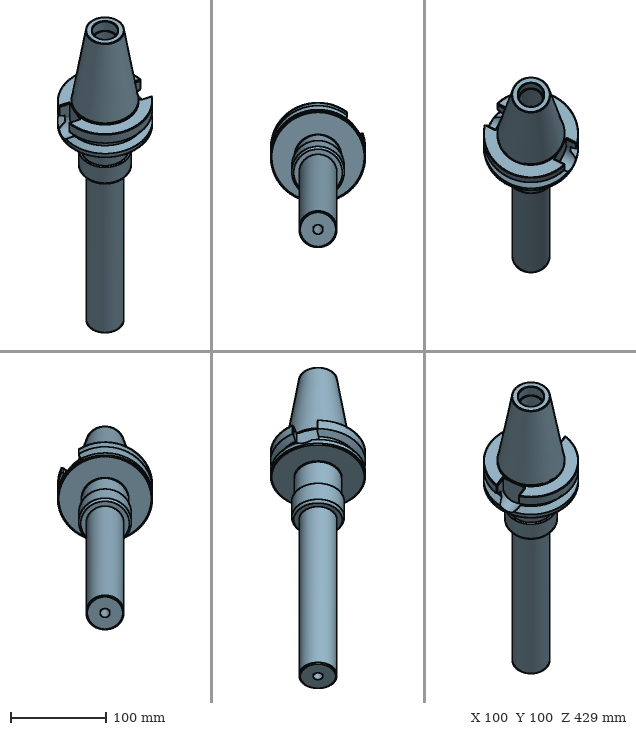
import cadquery as cq
import math

TOTAL_LENGTH = 429.0

EDGE_BREAK = 0.65

TAPER_LENGTH = 102.5
TAPER_LARGE_D = 70.5
TAPER_RATE = 7 / 24
GAUGE_Z = TOTAL_LENGTH - TAPER_LENGTH
TAPER_SMALL_D = TAPER_LARGE_D - TAPER_RATE * TAPER_LENGTH

COLLAR_D = 71.0
COLLAR_LENGTH = 2.0
COLLAR_CHAMFER_HEIGHT = 1.0

FLANGE_D = 100.0
FLANGE_TOP_Z = GAUGE_Z - COLLAR_LENGTH
FLANGE_THICKNESS = 35.0
FLANGE_BOTTOM_Z = FLANGE_TOP_Z - FLANGE_THICKNESS
FLANGE_CHAMFER = 1.5
GROOVE_D = 85.0
GROOVE_FLOOR_WIDTH = 7.0
GROOVE_CENTER_DEPTH = 20.5
GROOVE_CENTER_Z = FLANGE_TOP_Z - GROOVE_CENTER_DEPTH
GROOVE_FLANK_ANGLE = 30.0
GROOVE_FLANK_HEIGHT = (FLANGE_D - GROOVE_D) / 2 * math.tan(math.radians(GROOVE_FLANK_ANGLE))

SLOT_WIDTH = 25.7
SLOT_LENGTH = 31.5
SLOT_FLOOR_Y = 35.0
SLOT_CHAMFER = 1.5

NECK_D = 50.0
NECK_LENGTH = 35.5
RELIEF_D = 48.5
RELIEF_WIDTH = 1.5
NUT_D = 55.5
NUT_LENGTH = 26.5
NUT_CHAMFER_HEIGHT = 3.5
NUT_CHAMFER_WIDTH = 2.0
NUT_TOP_Z = FLANGE_BOTTOM_Z - NECK_LENGTH
NUT_BOTTOM_Z = NUT_TOP_Z - NUT_LENGTH
TUBE_D = 40.0
TUBE_CHAMFER = 1.5

MOUTH_D = 27.0
MOUTH_DEPTH = 13.7
THREAD_D = 25.0
THREAD_DEPTH = 60.0
THREAD_MINOR_D = 23.5
THREAD_MINOR_DEPTH = 73.0
DRILL_D = 20.5
DRILL_DEPTH = 85.8
DRILL_POINT_ANGLE = 120.0
PASSAGE_D = 14.0
PASSAGE_DEPTH = 111.5
NARROW_PASSAGE_D = 12.0
NARROW_PASSAGE_DEPTH = 137.2
THROUGH_BORE_D = 10.5


def revolve_about_z(profile):
    """Solid of revolution from (radius, z) points."""
    return cq.Workplane("XZ").polyline(profile).close().revolve(360, (0, 0), (0, 1))


def revolved_body():
    taper_small_r = TAPER_SMALL_D / 2
    flange_r = FLANGE_D / 2
    groove_r = GROOVE_D / 2
    nut_r = NUT_D / 2
    tube_r = TUBE_D / 2
    floor_top_z = GROOVE_CENTER_Z + GROOVE_FLOOR_WIDTH / 2
    floor_bottom_z = GROOVE_CENTER_Z - GROOVE_FLOOR_WIDTH / 2
    profile = [
        (0, 0),
        (tube_r - TUBE_CHAMFER, 0),
        (tube_r, TUBE_CHAMFER),
        (tube_r, NUT_BOTTOM_Z),
        (nut_r - NUT_CHAMFER_WIDTH, NUT_BOTTOM_Z),
        (nut_r, NUT_BOTTOM_Z + NUT_CHAMFER_HEIGHT),
        (nut_r, NUT_TOP_Z),
        (NECK_D / 2, NUT_TOP_Z),
        (NECK_D / 2, FLANGE_BOTTOM_Z - RELIEF_WIDTH),
        (RELIEF_D / 2, FLANGE_BOTTOM_Z - RELIEF_WIDTH),
        (RELIEF_D / 2, FLANGE_BOTTOM_Z),
        (flange_r - FLANGE_CHAMFER, FLANGE_BOTTOM_Z),
        (flange_r, FLANGE_BOTTOM_Z + FLANGE_CHAMFER),
        (flange_r, floor_bottom_z - GROOVE_FLANK_HEIGHT),
        (groove_r, floor_bottom_z),
        (groove_r, floor_top_z),
        (flange_r, floor_top_z + GROOVE_FLANK_HEIGHT),
        (flange_r, FLANGE_TOP_Z - EDGE_BREAK),
        (flange_r - EDGE_BREAK, FLANGE_TOP_Z),
        (COLLAR_D / 2, FLANGE_TOP_Z),
        (COLLAR_D / 2, GAUGE_Z - COLLAR_CHAMFER_HEIGHT),
        (TAPER_LARGE_D / 2, GAUGE_Z),
        (taper_small_r, TOTAL_LENGTH - EDGE_BREAK),
        (taper_small_r - EDGE_BREAK, TOTAL_LENGTH),
        (0, TOTAL_LENGTH),
    ]
    return revolve_about_z(profile)


def driving_slot():
    """Cutter for the slot on the -Y side."""
    radius = SLOT_WIDTH / 2
    end_z = FLANGE_TOP_Z - SLOT_LENGTH
    return (
        cq.Workplane("XZ", origin=(0, -SLOT_FLOOR_Y, 0))
        .moveTo(-radius, FLANGE_TOP_Z)
        .lineTo(-radius, end_z + radius)
        .threePointArc((0, end_z), (radius, end_z + radius))
        .lineTo(radius, FLANGE_TOP_Z)
        .close()
        .extrude(FLANGE_D / 2)
    )


def slot_edge_chamfers():
    """Cutter that breaks the top and rim edges of the -Y slot in the upper flange land."""
    wall_x = SLOT_WIDTH / 2
    chamfer_x = wall_x + SLOT_CHAMFER
    rim_y = -math.sqrt((FLANGE_D / 2) ** 2 - chamfer_x**2)
    top_profile = [
        (-chamfer_x, FLANGE_TOP_Z),
        (-wall_x, FLANGE_TOP_Z - SLOT_CHAMFER),
        (wall_x, FLANGE_TOP_Z - SLOT_CHAMFER),
        (chamfer_x, FLANGE_TOP_Z),
    ]
    top_edges = (
        cq.Workplane("XZ", origin=(0, -SLOT_FLOOR_Y, 0)).polyline(top_profile).close().extrude(FLANGE_D / 2)
    )
    rim_profile = [
        (-wall_x, rim_y + SLOT_CHAMFER),
        (-chamfer_x, rim_y),
        (-chamfer_x, -FLANGE_D / 2),
        (chamfer_x, -FLANGE_D / 2),
        (chamfer_x, rim_y),
        (wall_x, rim_y + SLOT_CHAMFER),
    ]
    rim_edges = (
        cq.Workplane("XY", origin=(0, 0, GROOVE_CENTER_Z))
        .polyline(rim_profile)
        .close()
        .extrude(FLANGE_TOP_Z - GROOVE_CENTER_Z)
    )
    return top_edges.union(rim_edges)


def bore():
    """Cutter for the stepped bore, ending the drilled length in a drill point."""
    point_height = (DRILL_D - PASSAGE_D) / 2 / math.tan(math.radians(DRILL_POINT_ANGLE / 2))
    half_section = [
        (MOUTH_D + 2 * EDGE_BREAK, 0),
        (MOUTH_D, EDGE_BREAK),
        (MOUTH_D, MOUTH_DEPTH),
        (THREAD_D, MOUTH_DEPTH),
        (THREAD_D, THREAD_DEPTH),
        (THREAD_MINOR_D, THREAD_DEPTH),
        (THREAD_MINOR_D, THREAD_MINOR_DEPTH),
        (DRILL_D, THREAD_MINOR_DEPTH),
        (DRILL_D, DRILL_DEPTH),
        (PASSAGE_D, DRILL_DEPTH + point_height),
        (PASSAGE_D, PASSAGE_DEPTH),
        (NARROW_PASSAGE_D, PASSAGE_DEPTH),
        (NARROW_PASSAGE_D, NARROW_PASSAGE_DEPTH),
        (THROUGH_BORE_D, NARROW_PASSAGE_DEPTH),
        (THROUGH_BORE_D, TOTAL_LENGTH),
        (0, TOTAL_LENGTH),
        (0, 0),
    ]
    profile = [(diameter / 2, TOTAL_LENGTH - depth) for diameter, depth in half_section]
    return revolve_about_z(profile)


result = revolved_body()
slot = driving_slot().union(slot_edge_chamfers())
for angle in (0, 180):
    result = result.cut(slot.rotate((0, 0, 0), (0, 0, 1), angle))
result = result.cut(bore())